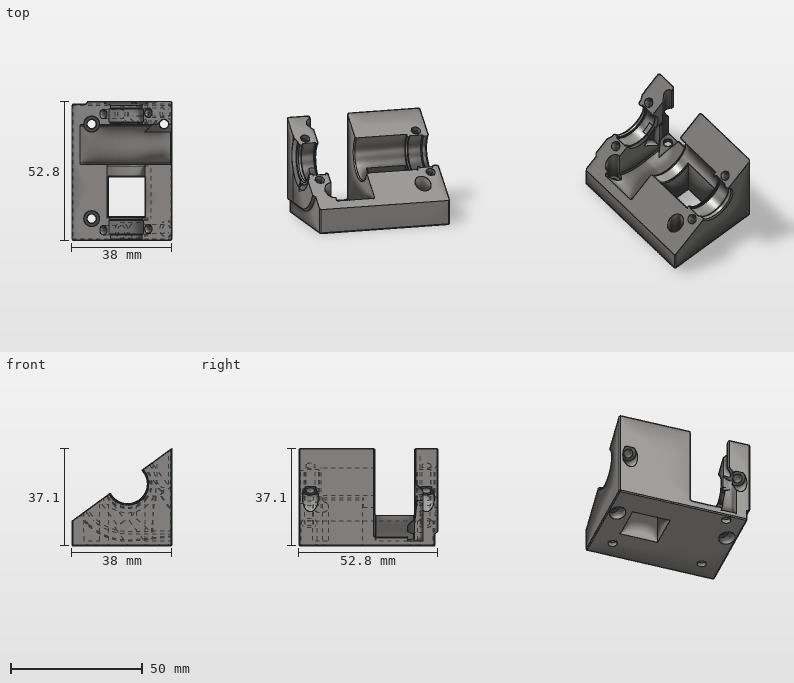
import cadquery as cq
import math

width = 38.0
length = 52.75
left_height = 9.5
slope_angle = 36.0
edge_chamfer = 0.4
low_back_y = 51.7
boss_step = length - low_back_y
overshoot = 10.55

slope_run = math.radians(slope_angle)
right_height = left_height + width * math.tan(slope_run)

axis_x = 21.15
axis_z = 23.65
seat_radius = 7.5
groove_radius = 8.1
mouth_radius = 8.0
clear_radius = 8.95
back_mouth_radius = 7.75
clear_mouth_radius = 9.25
lip_chamfer = 0.3

relief_radius = 8.0
relief_offset = 1.15
relief_depth = 0.75
relief_taper = 65.0

cavity_front = 28.85
cavity_back = 43.95
cavity_radius = 21.75
floor_angle = 6.0
floor_chamfer = 0.5
mouth_chamfer = 0.5

window_x = (13.85, 27.8)
window_y = (8.95, 24.05)
window_lip_chamfer = 0.35

mount_radius = 1.75
mount_head_radius = 3.0
mount_seat_z = 1.95
left_mount_x = 7.5
right_mount_x = 34.95
front_mount_y = 8.25
back_mount_y = 44.15
head_slot_top = 24.15
head_flare_top = 17.4

clamp_radius = 1.75
clamp_head_radius = 3.0
clamp_grip = 11.6
clamp_reach = 42.2
clamp_points = [(12.0, 3.85), (12.0, 47.95), (29.0, 4.3), (29.0, 48.4)]

pad_radius = 19.0
pad_root_y = 50.65
rim_y = 52.65
rim_end_x = 30.75
dish_inner_radius = 9.0
dish_outer_radius = 10.95

notch_radius = 0.95
notch_x = 23.6
notch_y = 51.65
notch_bottom = 11.6

recess_points = [(23.15, 11.75), (30.1, 5.2), (31.65, 19.0), (26.4, 19.0)]
recess_inner_radius = 8.55


def slope_z(x):
    """Height of the sloping face at x."""
    return left_height + x * math.tan(slope_run)


def along_y(y):
    """Workplane on XZ at the given y; a negative extrusion runs towards +Y."""
    return cq.Workplane("XZ", origin=(0, y, 0))


def behind(y):
    """Space on the +Y side of the given y."""
    space = cq.Workplane("XY").box(width, length, right_height + overshoot, centered=False)
    return space.translate((0, y, 0))


def wedge(depth):
    """Wedge block with bevelled base and upright edges."""
    outline = [(0, 0), (width, 0), (width, right_height), (0, left_height)]
    block = along_y(0).polyline(outline).close().extrude(-depth)
    return block.edges("|Z or <Z").chamfer(edge_chamfer)


def back_pad():
    """Pad on the back face, rounded about the bore axis and bevelled to the lower face."""
    pad_bottom = axis_z - pad_radius
    outer_x = width + overshoot
    top_z = right_height + overshoot
    pad = (
        along_y(pad_root_y)
        .moveTo(axis_x, pad_bottom)
        .lineTo(outer_x, pad_bottom)
        .lineTo(outer_x, top_z)
        .lineTo(axis_x - pad_radius, top_z)
        .lineTo(axis_x - pad_radius, axis_z)
        .radiusArc((axis_x, pad_bottom), -pad_radius)
        .close()
        .extrude(-(length - pad_root_y))
    )
    pad = pad.faces(">Y").chamfer(boss_step).intersect(wedge(length))
    lowered = cq.Workplane("XY").box(rim_end_x, boss_step, right_height, centered=False)
    return pad.cut(lowered.translate((0, rim_y, 0)))


def turned(profile):
    """Solid of revolution about the bore axis from (radius, y) points."""
    points = [(0, profile[0][1])] + profile + [(0, profile[-1][1])]
    plane = cq.Workplane("XY", origin=(axis_x, 0, axis_z))
    return plane.polyline(points).close().revolve(360, (0, 0), (0, 1))


def front_bore():
    return turned([
        (mouth_radius, 0),
        (seat_radius, 0.55),
        (seat_radius, 1.95),
        (seat_radius + lip_chamfer, 2.3),
        (groove_radius, 2.3),
        (groove_radius, 7.45),
        (seat_radius + lip_chamfer, 7.45),
        (seat_radius, 7.65),
        (seat_radius, 7.85),
        (mouth_radius, 8.4),
        (clear_radius, 8.4),
        (clear_radius, 28.3),
        (clear_mouth_radius, cavity_front),
    ])


def back_bore():
    return turned([
        (back_mouth_radius, cavity_back),
        (seat_radius, 44.45),
        (seat_radius, 44.7),
        (seat_radius + lip_chamfer, 45.0),
        (groove_radius, 45.0),
        (groove_radius, 49.9),
        (seat_radius + lip_chamfer, 49.9),
        (seat_radius, 50.2),
        (seat_radius, 51.2),
        (mouth_radius, low_back_y),
        (dish_inner_radius, low_back_y),
        (dish_outer_radius, rim_y),
        (dish_outer_radius, length),
    ])


def back_relief():
    """Shallow conical step in the cavity wall, eccentric to the bore."""
    centre_x = axis_x + relief_offset * math.sin(slope_run)
    centre_z = axis_z - relief_offset * math.cos(slope_run)
    rim = along_y(cavity_back).center(centre_x, centre_z).circle(relief_radius)
    return rim.extrude(-relief_depth, taper=relief_taper)


def dish_notch():
    """Part of an upright cylinder that lies behind the floor of the dish."""
    tool = upright_cylinder(notch_x, notch_y, notch_radius, notch_bottom)
    return tool.intersect(behind(low_back_y))


def wheel_cavity():
    """Cylindrical hollow about the bore axis that runs out to +X as a flat floor."""
    tilt = math.radians(floor_angle)
    tangent_x = axis_x + cavity_radius * math.sin(tilt)
    tangent_z = axis_z - cavity_radius * math.cos(tilt)
    outer_x = width + overshoot
    top_z = right_height + overshoot
    hollow = (
        along_y(cavity_front)
        .moveTo(axis_x - cavity_radius, axis_z)
        .radiusArc((tangent_x, tangent_z), -cavity_radius)
        .lineTo(outer_x, tangent_z + (outer_x - tangent_x) * math.tan(tilt))
        .lineTo(outer_x, top_z)
        .lineTo(axis_x - cavity_radius, top_z)
        .close()
        .extrude(cavity_front - cavity_back)
    )
    return hollow.faces("<Y or >Y").chamfer(floor_chamfer)


def window():
    x0, x1 = window_x
    y0, y1 = window_y
    return cq.Workplane("XY").box(x1 - x0, y1 - y0, axis_z, centered=False).translate((x0, y0, 0))


def upright_cylinder(x, y, radius, bottom):
    return cq.Workplane("XY", origin=(x, y, bottom)).circle(radius).extrude(right_height)


def diagonal_flare(r):
    """Corner points of the 45 degree mouth from a circle about the right screw to the cavity."""
    diagonal = r * math.sqrt(0.5)
    tangent = (right_mount_x - diagonal, back_mount_y + diagonal)
    corner_y = back_mount_y - r
    corner_x = tangent[0] - (tangent[1] - corner_y)
    return [tangent, (corner_x, corner_y), (right_mount_x, corner_y), (right_mount_x, back_mount_y)]


def on_right_seat():
    return cq.Workplane("XY", origin=(0, 0, mount_seat_z))


def head_slot():
    """Room for the right screw head, open to +X under a sloping roof and flared to the cavity."""
    r = mount_head_radius
    run_out = width + overshoot - right_mount_x
    head = on_right_seat().center(right_mount_x, back_mount_y).circle(r).extrude(right_height)
    side = on_right_seat().box(run_out, 2 * r, right_height, centered=(False, True, False))
    slot = head.union(side.translate((right_mount_x, back_mount_y, 0)))
    front_y = back_mount_y - r
    back_y = back_mount_y + r
    under_roof = (
        cq.Workplane("YZ")
        .moveTo(front_y, 0)
        .lineTo(back_y, 0)
        .lineTo(back_y, head_slot_top - (back_y - cavity_back))
        .lineTo(front_y, head_slot_top + (cavity_back - front_y))
        .close()
        .extrude(width + overshoot)
    )
    flare = on_right_seat().polyline(diagonal_flare(r)).close()
    flare = flare.extrude(head_flare_top - mount_seat_z)
    return slot.intersect(under_roof).union(flare)


def screw_groove():
    """Clearance for the right screw down the back wall, flared at 45 degrees to the cavity."""
    hole = upright_cylinder(right_mount_x, back_mount_y, mount_radius, 0)
    flare = on_right_seat().polyline(diagonal_flare(mount_radius)).close().extrude(right_height)
    return hole.union(flare.intersect(behind(cavity_back)))


def clamp_hole(x, y):
    """Screw hole square to the sloping face, counterbored from the far side."""
    into_part = cq.Vector(math.sin(slope_run), 0, -math.cos(slope_run))
    start = cq.Vector(x, y, slope_z(x))
    seat = start + into_part * clamp_grip
    shank = cq.Solid.makeCylinder(clamp_radius, clamp_grip, start, into_part)
    head = cq.Solid.makeCylinder(clamp_head_radius, clamp_reach, seat, into_part)
    return cq.Workplane(shank).union(cq.Workplane(head))


def wall_recess():
    depth = back_mount_y + mount_head_radius - cavity_back
    recess = along_y(cavity_back).polyline(recess_points).close().extrude(-depth)
    return recess.cut(turned([(recess_inner_radius, 0), (recess_inner_radius, length)]))


def edges_within(part, low, high):
    """Edges whose centres lie in the box between two corners."""
    return part.edges(cq.selectors.BoxSelector(low, high))


tiny = 0.05
result = wedge(low_back_y).union(back_pad())

result = result.cut(wheel_cavity())
mouth_low = (width - tiny, cavity_front - tiny, edge_chamfer + tiny)
mouth_high = (width + tiny, cavity_back + tiny, right_height)
result = edges_within(result, mouth_low, mouth_high).chamfer(mouth_chamfer)

result = result.cut(front_bore()).cut(window())
lip_y = window_y[1]
lip_low = (window_x[0] + tiny, lip_y - tiny, edge_chamfer + tiny)
lip_high = (window_x[1] - tiny, lip_y + tiny, axis_z)
result = edges_within(result, lip_low, lip_high).chamfer(window_lip_chamfer)

result = result.cut(back_bore()).cut(back_relief())
result = result.cut(dish_notch())

for mount_y in (front_mount_y, back_mount_y):
    result = result.cut(upright_cylinder(left_mount_x, mount_y, mount_radius, 0))
    result = result.cut(upright_cylinder(left_mount_x, mount_y, mount_head_radius, mount_seat_z))
result = result.cut(head_slot()).cut(screw_groove())

for clamp_x, clamp_y in clamp_points:
    result = result.cut(clamp_hole(clamp_x, clamp_y))
result = result.cut(wall_recess())